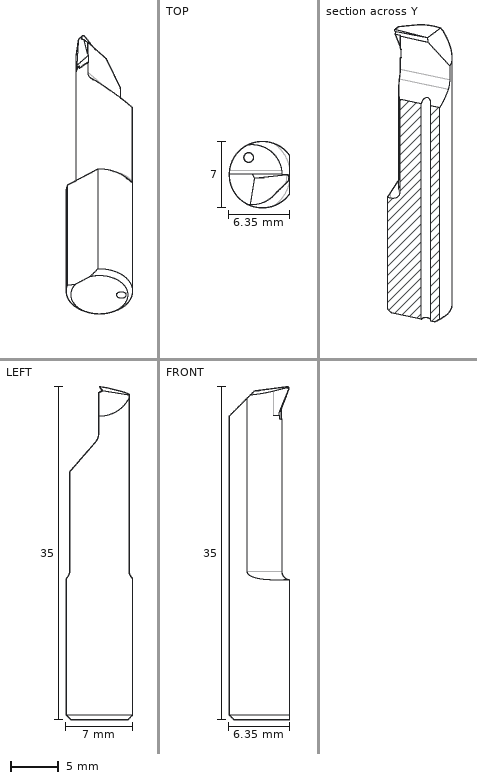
import math

import cadquery as cq

total_height = 35.0
shank_radius = 3.5
flat_x = 2.85
foot_chamfer = 0.5
shank_top_z = 14.7

neck_radius = 3.15
neck_axis_x = -1.09
neck_root_radius = 0.85

coolant_diameter = 1.0
coolant_x = -1.45
coolant_y = 1.8

rake_face_y = 0.08
gullet_runout_y = 3.12
gullet_runout_z = 26.05
gullet_slope_angle = 49.0
gullet_root_radius = 1.5

top_fall_x_angle = 6.7
top_fall_y_angle = 8.0

back_relief_start_z = 31.88

flank_angle = 45.0
tip_bottom_z = 31.98
nose_radius = 0.2
nose_reach_x = 2.8
undercut_angle = 21.0
undercut_wall_x = 1.96
undercut_bottom_z = 31.6
side_relief_angle = 3.5
wall_relief_angle = 7.5
undercut_floor_angle = 28.0

chip_groove_angle = 1.8
chip_root_z = 34.55
chip_rake_angle = 30.0
chip_floor_angle = 28.0

clear = 10.0


def tangent(degrees):
    return math.tan(math.radians(degrees))


def cosine(degrees):
    return math.cos(math.radians(degrees))


def sine(degrees):
    return math.sin(math.radians(degrees))


nose_x = nose_reach_x - nose_radius
nose_z = total_height - nose_radius


def make_shank():
    return (
        cq.Workplane("XY")
        .circle(shank_radius)
        .extrude(total_height + clear)
        .faces("<Z")
        .chamfer(foot_chamfer)
    )


def make_neck_clearance():
    """Space around the neck, with a concave root radius above the shank."""
    arc_mid = neck_root_radius * (1 - cosine(45))
    profile = (
        cq.Workplane("XZ")
        .moveTo(neck_radius + neck_root_radius, shank_top_z)
        .threePointArc(
            (neck_radius + arc_mid, shank_top_z + arc_mid),
            (neck_radius, shank_top_z + neck_root_radius),
        )
        .lineTo(neck_radius, total_height + clear)
        .lineTo(neck_radius + clear, total_height + clear)
        .lineTo(neck_radius + clear, shank_top_z)
        .close()
    )
    return profile.revolve(360, (0, 0, 0), (0, 1, 0)).translate((neck_axis_x, 0, 0))


def make_tip_block():
    """Corner block whose flank leaves the neck circle tangentially."""
    touch_x = neck_axis_x + neck_radius * cosine(flank_angle)
    touch_y = -neck_radius * sine(flank_angle)
    corner_x = neck_axis_x + neck_radius / cosine(flank_angle)
    return (
        cq.Workplane("XY", origin=(0, 0, tip_bottom_z))
        .moveTo(neck_axis_x, 0)
        .lineTo(touch_x, touch_y)
        .lineTo(corner_x, 0)
        .close()
        .extrude(total_height + clear - tip_bottom_z)
    )


def make_gullet():
    slope = tangent(gullet_slope_angle)
    corner_z = gullet_runout_z + (gullet_runout_y - rake_face_y) * slope
    outer_y = gullet_runout_y + clear
    return (
        cq.Workplane("YZ", origin=(-clear, 0, 0))
        .moveTo(rake_face_y, total_height + 2 * clear)
        .lineTo(rake_face_y, corner_z)
        .lineTo(outer_y, corner_z - (outer_y - rake_face_y) * slope)
        .lineTo(outer_y, total_height + 2 * clear)
        .close()
        .extrude(2 * clear)
        .edges(cq.selectors.NearestToPointSelector((0, rake_face_y, corner_z)))
        .fillet(gullet_root_radius)
    )


def make_top_clearance():
    normal = cq.Vector(-tangent(top_fall_x_angle), -tangent(top_fall_y_angle), 1)
    along_x = (1, 0, tangent(top_fall_x_angle))
    plane = cq.Plane(origin=(nose_x, 0, total_height), xDir=along_x, normal=normal)
    return cq.Workplane(plane).rect(2 * clear, 2 * clear).extrude(2 * clear)


def make_back_relief():
    return (
        cq.Workplane("XZ", origin=(0, clear, 0))
        .moveTo(-shank_radius - clear, back_relief_start_z - clear)
        .lineTo(clear, back_relief_start_z + shank_radius + clear)
        .lineTo(-shank_radius - clear, back_relief_start_z + shank_radius + clear)
        .close()
        .extrude(2 * clear)
    )


def turned_about_z(body, x, degrees):
    return body.rotate((x, 0, 0), (x, 0, 1), degrees)


def make_undercut():
    """Space in front of the slanted tip front and of the upright wall below it."""
    slope = tangent(undercut_angle)
    touch_x = nose_x + nose_radius * cosine(undercut_angle)
    touch_z = nose_z - nose_radius * sine(undercut_angle)
    top_x = touch_x + clear * slope
    foot_x = touch_x - clear * slope
    front_space = (
        cq.Workplane("XZ", origin=(0, clear, 0))
        .moveTo(foot_x, touch_z - clear)
        .lineTo(top_x, touch_z + clear)
        .lineTo(top_x + clear, touch_z + clear)
        .lineTo(top_x + clear, touch_z - clear)
        .close()
        .extrude(2 * clear)
    )
    wall_space = (
        cq.Workplane("XZ", origin=(0, clear, 0))
        .moveTo(undercut_wall_x, undercut_bottom_z)
        .lineTo(undercut_wall_x, total_height + clear)
        .lineTo(undercut_wall_x + clear, total_height + clear)
        .lineTo(undercut_wall_x + clear, undercut_bottom_z - clear * tangent(undercut_floor_angle))
        .close()
        .extrude(2 * clear)
    )
    front_space = turned_about_z(front_space, nose_reach_x, -side_relief_angle)
    wall_space = turned_about_z(wall_space, undercut_wall_x, -wall_relief_angle)
    return front_space.intersect(wall_space)


def make_chip_groove():
    """V groove running from the nose along the rake face; its wall leans in under the cutting edge."""
    root_y = -(total_height - chip_root_z) * tangent(chip_rake_angle)
    groove = (
        cq.Workplane("YZ", origin=(-clear, 0, 0))
        .moveTo(root_y, chip_root_z)
        .lineTo(root_y + clear * tangent(chip_rake_angle), chip_root_z + clear)
        .lineTo(root_y + clear, chip_root_z + clear)
        .lineTo(root_y + clear, chip_root_z - clear * tangent(chip_floor_angle))
        .close()
        .extrude(2 * clear)
    )
    return turned_about_z(groove, 0, chip_groove_angle).translate(
        (0, -nose_reach_x * tangent(chip_groove_angle), 0)
    )


def make_flat():
    return cq.Workplane("XY", origin=(flat_x, 0, 0)).box(
        clear, 2 * clear, 2 * total_height + clear, centered=(False, True, True)
    )


def make_coolant_hole():
    return (
        cq.Workplane("XY")
        .center(coolant_x, coolant_y)
        .circle(coolant_diameter / 2)
        .extrude(total_height)
    )


bar = make_shank().cut(make_neck_clearance()).cut(make_flat())
tool = bar.union(make_tip_block())
tool = tool.cut(make_gullet()).cut(make_top_clearance()).cut(make_back_relief()).cut(make_undercut())
nose_edge = cq.selectors.NearestToPointSelector((nose_reach_x, -nose_radius, total_height))
tool = tool.edges(nose_edge).fillet(nose_radius)
result = tool.cut(make_chip_groove()).cut(make_coolant_hole())